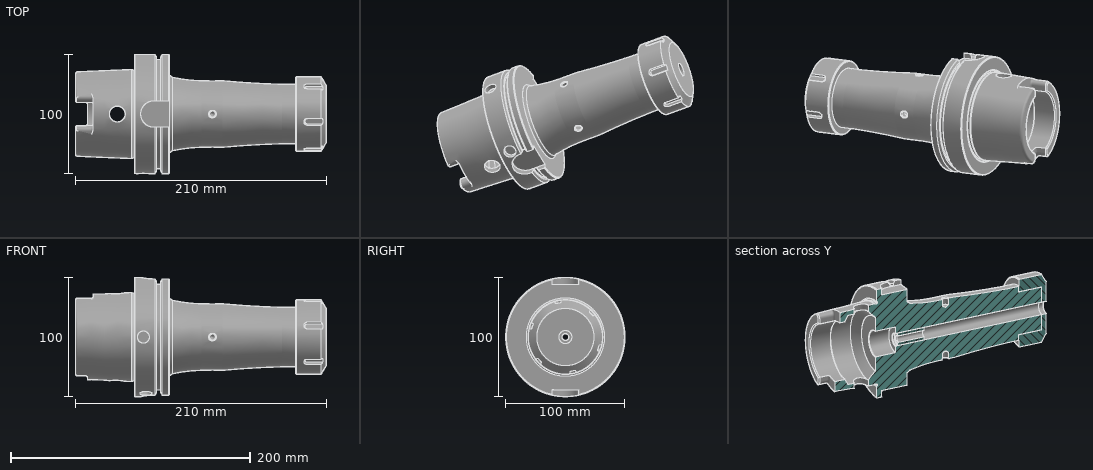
import cadquery as cq
import math

total_length = 210.0

shank_end_radius = 35.5
shank_base_radius = 37.4
shank_base_x = 47.0
shank_end_round = 2.0
relief_radius = 37.0
relief_start_x = 48.0
face_groove_radius = 39.0
face_groove_depth = 0.8

flange_radius = 50.0
flange_start_x = 49.3
flange_end_x = 78.5
flange_chamfer = 0.6
groove_start_x = 66.5
groove_end_x = 72.6
groove_flank = 1.5
groove_flank_radius = 47.5
groove_radius = 45.8

neck_root_radius = 32.7
neck_root_x = 81.0
neck_flare_radius = 30.9
rear_curve_mid_radius = 28.8
band_radius = 28.0
band_start_x = 105.8
band_end_x = 123.5
front_curve_mid_radius = 26.0
front_radius = 25.0
front_start_x = 173.2

nut_start_x = 184.0
nut_radius = 31.3
nut_face_radius = 24.0
nut_cone_x = 205.5
nut_rear_chamfer = 0.6
nut_slot_count = 6
nut_slot_angle = 18.0
nut_slot_width = 6.0
nut_slot_start_x = 191.0
nut_slot_floor_radius = 29.0
nut_slot_wall_angle = 20.0
spigot_radius = 20.0

bore_radius = 26.2
bore_chamfer = 1.0
bore_straight_x = 19.7
recess_radius = 31.5
recess_lead_angle = 60.0
bore_floor_radius = 24.5
bore_floor_x = 48.3
socket_radius = 11.5
socket_chamfer = 0.5
socket_floor_x = 67.2
passage_radius = 5.5
passage_chamfer = 0.5

screw_start_x = 69.3
screw_length = 25.2
screw_hole_radius = 2.7
screw_hole_chamfer = 0.8

notch_half_width = 9.7
notch_round = 4.0
notch_shoulder_z = 32.5
notch_shoulder_slope = 16.0
notch_shoulder_run = 10.5
notch_floor_round = 1.7
notch_mouth_chamfer = 1.0
top_notch_depth = 15.0
bottom_notch_depth = 10.0

clamp_hole_x = 35.0
clamp_hole_radius = 6.5

key_slot_start_x = 54.5
key_slot_width = 22.0
key_slot_floor_z = 44.0
side_hole_radius = 5.0
side_hole_depth = 5.0
chip_hole_x = 56.9
mark_hole_x = 59.0
mark_hole_angle = 71.0

balance_hole_x = (band_start_x + band_end_x) / 2
balance_hole_count = 4
balance_hole_radius = 2.5
balance_hole_chamfer = 0.8
balance_hole_depth = 6.3
drill_point_angle = 118.0


def revolve_profile(profile):
    """Turn a closed (x, radius) outline about the tool axis."""
    return profile.close().revolve(360, (0, 0, 0), (1, 0, 0))


def cylinder_x(radius, start_x, end_x):
    return cq.Workplane("YZ").workplane(offset=start_x).circle(radius).extrude(end_x - start_x)


def radial_plane(x, angle, radius):
    """Workplane facing outward at the given angle from -Y toward +Z."""
    a = math.radians(angle)
    outward = cq.Vector(0, -math.cos(a), math.sin(a))
    return cq.Workplane(cq.Plane(cq.Vector(x, 0, 0) + outward * radius, (1, 0, 0), outward))


def holder_blank():
    """Shank, flange, neck and nose turned as one outline."""
    rear_curve_mid_x = (neck_root_x + band_start_x) / 2
    front_curve_mid_x = (band_end_x + front_start_x) / 2
    round_inset = shank_end_round * (1 - math.sqrt(0.5))
    profile = (
        cq.Workplane("XY")
        .moveTo(0, 0)
        .lineTo(0, shank_end_radius - shank_end_round)
        .threePointArc((round_inset, shank_end_radius - round_inset), (shank_end_round, shank_end_radius))
        .lineTo(shank_base_x, shank_base_radius)
        .lineTo(relief_start_x, relief_radius)
        .lineTo(flange_start_x + face_groove_depth, relief_radius)
        .lineTo(flange_start_x + face_groove_depth, face_groove_radius - face_groove_depth)
        .lineTo(flange_start_x, face_groove_radius)
        .lineTo(flange_start_x, flange_radius - flange_chamfer)
        .lineTo(flange_start_x + flange_chamfer, flange_radius)
        .lineTo(groove_start_x, flange_radius)
        .lineTo(groove_start_x + groove_flank, groove_flank_radius)
        .lineTo(groove_start_x + groove_flank, groove_radius)
        .lineTo(groove_end_x - groove_flank, groove_radius)
        .lineTo(groove_end_x - groove_flank, groove_flank_radius)
        .lineTo(groove_end_x, flange_radius)
        .lineTo(flange_end_x - flange_chamfer, flange_radius)
        .lineTo(flange_end_x, flange_radius - flange_chamfer)
        .lineTo(flange_end_x, neck_root_radius)
        .lineTo(neck_root_x, neck_flare_radius)
        .threePointArc((rear_curve_mid_x, rear_curve_mid_radius), (band_start_x, band_radius))
        .lineTo(band_end_x, band_radius)
        .threePointArc((front_curve_mid_x, front_curve_mid_radius), (front_start_x, front_radius))
        .lineTo(nut_start_x, front_radius)
        .lineTo(nut_start_x, spigot_radius)
        .lineTo(nut_cone_x, spigot_radius)
        .lineTo(nut_cone_x, 0)
    )
    return revolve_profile(profile)


def holder_bore():
    """Shank bore with its clamping recess, coolant socket and central passage."""
    recess_start_x = bore_straight_x + (recess_radius - bore_radius) / math.tan(math.radians(recess_lead_angle))
    recess_end_x = bore_floor_x - (recess_radius - bore_floor_radius)
    profile = (
        cq.Workplane("XY")
        .moveTo(0, 0)
        .lineTo(0, bore_radius + bore_chamfer)
        .lineTo(bore_chamfer, bore_radius)
        .lineTo(bore_straight_x, bore_radius)
        .lineTo(recess_start_x, recess_radius)
        .lineTo(recess_end_x, recess_radius)
        .lineTo(bore_floor_x, bore_floor_radius)
        .lineTo(bore_floor_x, socket_radius + socket_chamfer)
        .lineTo(bore_floor_x + socket_chamfer, socket_radius)
        .lineTo(socket_floor_x, socket_radius)
        .lineTo(socket_floor_x, passage_radius + passage_chamfer)
        .lineTo(socket_floor_x + passage_chamfer, passage_radius)
        .lineTo(nut_cone_x, passage_radius)
        .lineTo(nut_cone_x, 0)
    )
    return revolve_profile(profile)


def notch_outline(start, widening, side):
    """Closed notch outline on the workplane start; widening offsets it into the rounded shoulders."""
    half_width = notch_half_width + widening
    radius = notch_round - widening
    centre_y = notch_half_width + notch_round
    centre_z = notch_shoulder_z - notch_round
    slope = math.radians(notch_shoulder_slope)
    arc_end = math.pi / 2 - slope
    arc_mid = (arc_end + math.pi) / 2
    end_y = centre_y + radius * math.cos(arc_end)
    end_z = centre_z + radius * math.sin(arc_end)
    outer_y = end_y + notch_shoulder_run * math.cos(slope)
    outer_z = end_z - notch_shoulder_run * math.sin(slope)
    right_half = [
        (half_width, 0),
        (half_width, centre_z),
        (centre_y + radius * math.cos(arc_mid), centre_z + radius * math.sin(arc_mid)),
        (end_y, end_z),
        (outer_y, outer_z),
        (outer_y, flange_radius),
    ]
    foot, top, middle, end, outer, corner = [(y, side * z) for y, z in right_half]
    far_foot, far_top, far_middle, far_end, far_outer, far_corner = [(-y, side * z) for y, z in right_half]
    return (
        start.moveTo(*far_foot)
        .lineTo(*foot)
        .lineTo(*top)
        .threePointArc(middle, end)
        .lineTo(*outer)
        .lineTo(*corner)
        .lineTo(*far_corner)
        .lineTo(*far_outer)
        .lineTo(*far_end)
        .threePointArc(far_middle, far_top)
        .close()
    )


def drive_notch(depth, side):
    """Notch with a rounded floor edge and a chamfered mouth; side is +1 at +Z and -1 at -Z."""
    start = cq.Workplane("YZ")
    notch = notch_outline(start, 0, side).extrude(depth).faces(">X").edges().fillet(notch_floor_round)
    widest = notch_outline(start, notch_mouth_chamfer, side)
    mouth = notch_outline(widest.workplane(offset=notch_mouth_chamfer), 0, side).loft(ruled=True)
    return notch.union(mouth)


def clamp_holes():
    """One bore along Z through both sides of the shank wall."""
    return cq.Workplane("XY").center(clamp_hole_x, 0).circle(clamp_hole_radius).extrude(flange_radius, both=True)


def key_slot(side):
    """Flat-bottomed slot with a round end, open toward the nut."""
    radius = key_slot_width / 2
    centre_x = key_slot_start_x + radius
    height = flange_radius - key_slot_floor_z
    plane = cq.Workplane("XY").workplane(offset=side * key_slot_floor_z)
    round_end = plane.center(centre_x, 0).circle(radius).extrude(side * height)
    run = flange_end_x - centre_x
    straight = plane.center(centre_x + run / 2, 0).rect(run, key_slot_width).extrude(side * height)
    return round_end.union(straight)


def flange_hole(x, angle):
    return radial_plane(x, angle, flange_radius).circle(side_hole_radius).extrude(-side_hole_depth)


def balance_hole(angle):
    """Chamfered blind hole with a drill point, turned about its own radial axis."""
    tip = balance_hole_radius / math.tan(math.radians(drill_point_angle / 2))
    profile = (
        cq.Workplane("XY")
        .lineTo(balance_hole_radius + balance_hole_chamfer, 0)
        .lineTo(balance_hole_radius, -balance_hole_chamfer)
        .lineTo(balance_hole_radius, -balance_hole_depth)
        .lineTo(0, -balance_hole_depth - tip)
        .close()
    )
    cutter = profile.revolve(360, (0, 0, 0), (0, 1, 0))
    placed = cutter.translate((balance_hole_x, band_radius, 0))
    return placed.rotate((0, 0, 0), (1, 0, 0), angle)


def make_holder():
    holder = holder_blank().cut(holder_bore()).cut(clamp_holes())
    holder = holder.cut(drive_notch(top_notch_depth, 1)).cut(drive_notch(bottom_notch_depth, -1))
    for side in (1, -1):
        holder = holder.cut(key_slot(side))
    holder = holder.cut(flange_hole(chip_hole_x, 0)).cut(flange_hole(mark_hole_x, -mark_hole_angle))
    for index in range(balance_hole_count):
        holder = holder.cut(balance_hole(index * 360 / balance_hole_count))
    return holder


def nut_slot(angle):
    """Wrench slot with sloping walls and a round end, open toward the nut face."""
    depth = nut_radius - nut_slot_floor_radius
    wall_run = depth * math.tan(math.radians(nut_slot_wall_angle))
    floor_width = nut_slot_width - 2 * wall_run
    floor_length = 2 * (total_length - nut_slot_start_x - wall_run)
    plane = radial_plane(total_length, angle, nut_slot_floor_radius)
    return plane.slot2D(floor_length, floor_width).extrude(depth, taper=-nut_slot_wall_angle)


def make_nut():
    profile = (
        cq.Workplane("XY")
        .moveTo(nut_start_x, 0)
        .lineTo(nut_start_x, nut_radius - nut_rear_chamfer)
        .lineTo(nut_start_x + nut_rear_chamfer, nut_radius)
        .lineTo(nut_cone_x, nut_radius)
        .lineTo(total_length, nut_face_radius)
        .lineTo(total_length, 0)
    )
    nut = revolve_profile(profile)
    nut = nut.cut(cylinder_x(spigot_radius, nut_start_x, nut_cone_x))
    nut = nut.cut(cylinder_x(passage_radius, nut_cone_x, total_length))
    for index in range(nut_slot_count):
        nut = nut.cut(nut_slot(nut_slot_angle + index * 360 / nut_slot_count))
    return nut


def make_screw():
    """Hollow screw filling a stretch of the central passage."""
    end_x = screw_start_x + screw_length
    body = cylinder_x(passage_radius, screw_start_x, end_x)
    body = body.cut(cylinder_x(screw_hole_radius, screw_start_x, end_x))
    return body.faces("<X").edges(cq.selectors.RadiusNthSelector(0)).chamfer(screw_hole_chamfer)


holder = make_holder()
nut = make_nut()
screw = make_screw()
result = cq.Compound.makeCompound([holder.val(), nut.val(), screw.val()])